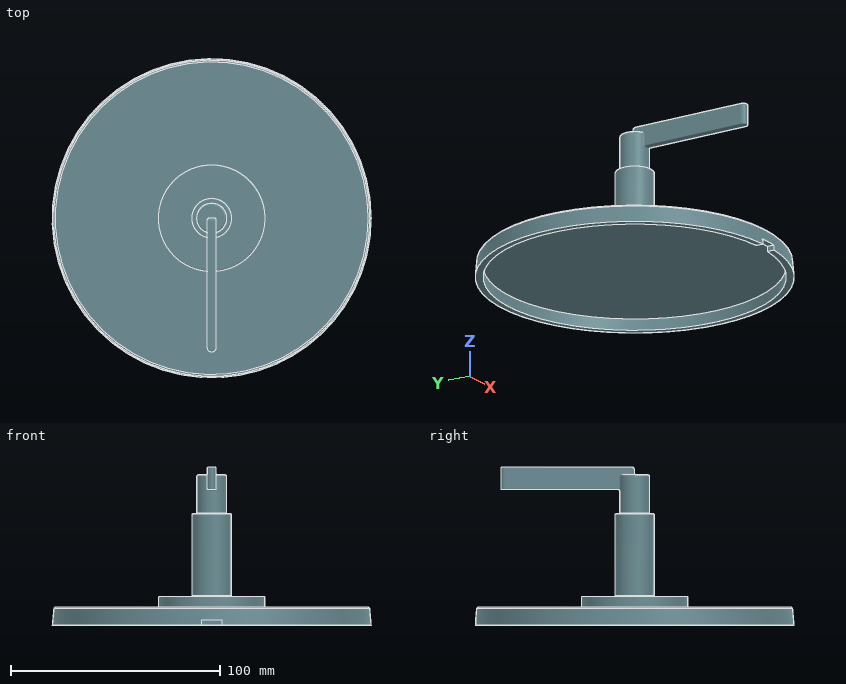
import cadquery as cq

plate_radius = 76.2
total_height = 75.7

plate_height = 8.8
plate_top_radius = 75.5
plate_edge = 0.8
plate_wall = 3.0
notch_width = 9.8
notch_height = 2.6

flange_radius = 25.5
flange_top = 13.9
flange_edge = 0.6
sleeve_radius = 9.5
sleeve_top = 53.3
sleeve_edge = 0.6

clearance = 0.3

post_radius = 7.2
post_top = 72.0
post_edge = 0.9
lever_width = 4.3
lever_bottom = 64.8
lever_reach = 63.9
lever_edge = 0.8
lever_heel_radius = 1.5
lever_bottom_edge = 0.5
root_fillet = 0.6


def make_plate():
    """Tapered cup with a drain notch through the rim on the -Y side."""
    plate = (
        cq.Workplane("XY")
        .circle(plate_radius)
        .workplane(offset=plate_height)
        .circle(plate_top_radius)
        .loft()
        .faces(">Z").edges().chamfer(plate_edge)
    )
    cavity = cq.Workplane("XY").circle(plate_top_radius - plate_wall).extrude(plate_height - plate_wall)
    notch = (
        cq.Workplane("XY")
        .box(notch_width, plate_radius, notch_height, centered=(True, False, False))
        .translate((0, -plate_radius, 0))
    )
    return plate.cut(cavity).cut(notch)


def make_round(radius, bottom, top, edge):
    """Cylinder on the Z axis with a rounded upper rim."""
    return (
        cq.Workplane("XY", origin=(0, 0, bottom))
        .circle(radius)
        .extrude(top - bottom)
        .faces(">Z").edges().fillet(edge)
    )


def make_lever():
    """Flat bar from the post axis toward -Y, with a full round tip and softened edges."""
    half_width = lever_width / 2
    tip_start = half_width - lever_reach
    return (
        cq.Workplane("XY", origin=(0, 0, lever_bottom))
        .moveTo(-half_width, 0)
        .lineTo(-half_width, tip_start)
        .threePointArc((0, -lever_reach), (half_width, tip_start))
        .lineTo(half_width, 0)
        .close()
        .extrude(total_height - lever_bottom)
        .faces(">Y").edges(">Z").fillet(lever_heel_radius)
        .faces(">Y").edges("|Z").fillet(lever_edge)
        .faces("<Z").edges().fillet(lever_bottom_edge)
    )


def make_handle():
    """Post and lever in one piece, blended where the lever leaves the post."""
    post = make_round(post_radius, sleeve_top + clearance, post_top, post_edge)
    lever = make_lever()
    margin = lever_bottom_edge / 2
    root = cq.selectors.BoxSelector(
        (-lever_width / 2 - margin, -post_radius - margin, lever_bottom - margin),
        (lever_width / 2 + margin, margin, post_top + margin),
        boundingbox=True,
    )
    return post.union(lever).edges(root).fillet(root_fillet)


plate = make_plate()
flange = make_round(flange_radius, plate_height, flange_top, flange_edge)
sleeve = make_round(sleeve_radius, flange_top + clearance, sleeve_top, sleeve_edge)
handle = make_handle()

result = cq.Compound.makeCompound([plate.val(), flange.val(), sleeve.val(), handle.val()])